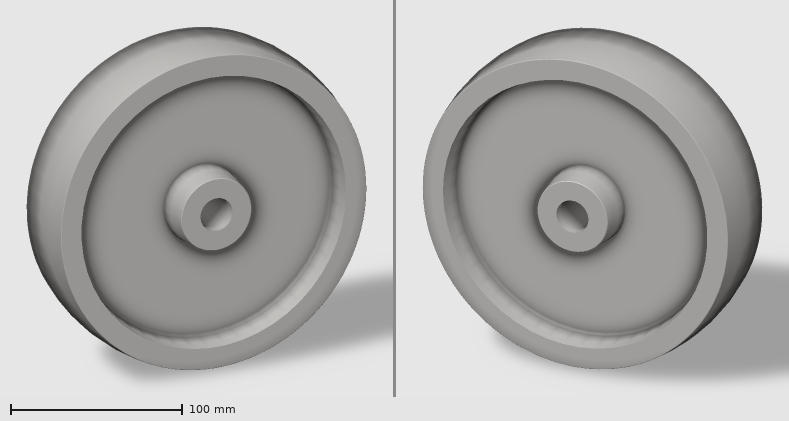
import cadquery as cq

wheel_radius = 100.0
rim_edge_radius = 97.5
rim_half_width = 25.0
rim_edge_round = 0.5
web_half_thickness = 9.0
recess_mouth_radius = 84.5
recess_root_radius = 82.0
recess_fillet = 2.0
hub_half_length = 29.0
hub_root_radius = 24.5
hub_tip_radius = 22.5
hub_edge_chamfer = 0.5
bore_radius = 10.2


def revolve_about_x(profile):
    return profile.close().revolve(360, (0, 0, 0), (1, 0, 0))


def make_blank():
    """Solid rim with a crowned tread and rounded outer edges."""
    profile = (
        cq.Workplane("XY")
        .moveTo(-rim_half_width, 0)
        .lineTo(-rim_half_width, rim_edge_radius)
        .threePointArc((0, wheel_radius), (rim_half_width, rim_edge_radius))
        .lineTo(rim_half_width, 0)
    )
    return revolve_about_x(profile).faces("<X or >X").edges().fillet(rim_edge_round)


def make_recess():
    """Tapered dish on the -X side, rounded where it meets the web."""
    profile = (
        cq.Workplane("XY")
        .moveTo(-rim_half_width, 0)
        .lineTo(-rim_half_width, recess_mouth_radius)
        .lineTo(-web_half_thickness, recess_root_radius)
        .lineTo(-web_half_thickness, 0)
    )
    return revolve_about_x(profile).faces(">X").edges().fillet(recess_fillet)


def make_hub():
    """Hub tapering from the web to both end faces."""
    profile = (
        cq.Workplane("XY")
        .moveTo(-hub_half_length, 0)
        .lineTo(-hub_half_length, hub_tip_radius)
        .lineTo(-web_half_thickness, hub_root_radius)
        .lineTo(web_half_thickness, hub_root_radius)
        .lineTo(hub_half_length, hub_tip_radius)
        .lineTo(hub_half_length, 0)
    )
    return revolve_about_x(profile).faces("<X or >X").edges().chamfer(hub_edge_chamfer)


recess = make_recess()
wheel = make_blank().cut(recess).cut(recess.mirror("YZ")).union(make_hub())

bore = (
    cq.Workplane("YZ")
    .circle(bore_radius)
    .extrude(hub_half_length, both=True)
)
result = wheel.cut(bore)